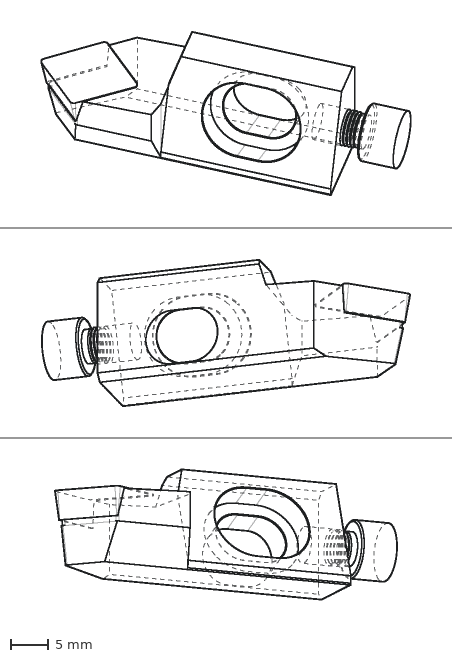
import cadquery as cq
import math

BAR_START = 18.0
BAR_END = 42.0
BAR_HEIGHT = 15.0
BAR_TOP_DEPTH = 6.0
BAR_DEPTH = 11.0
BACK_CHAMFER = 1.0
FACE_TILT = 20.0
END_TILT = 17.5
END_FOOT_HEIGHT = 10.9

HEAD_FRONT = -13.25
HEAD_FRONT_FOOT = -10.9
HEAD_SHOULDER = 17.35
HEAD_BAND_Z = 5.25
HEAD_BLANK_TOP = 12.5
FLANK_SLOPE = 0.71
FLANK_BACK_X = 11.2
LEAD_SUM = -6.6
LEAD_SUM_FOOT = -5.1
BAND_RADIUS = 0.55
NOSE_RADIUS = 0.3

TOP_ORIGIN_Z = 10.25
RISE_X = 0.037
RISE_Y = 0.05

TIP_CORNERS = [(-0.335, -7.45), (6.35, -14.2), (14.2, -8.7), (7.4, -1.85)]
TIP_THICKNESS = 4.0
TIP_RELIEF = 7.0
TIP_RADIUS = 0.6
TIP_STEP = 0.15

SLOT_X = 30.0
SLOT_Z = 8.05
SLOT_STRAIGHT = 3.0
RECESS_RADIUS = 5.4
RECESS_DEPTH = 4.0
SLOT_RADIUS = 3.6
SLOT_REACH = 20.0
RIM_CHAMFER = 0.1
RIM_ANGLE = 45.0

SCREW_Y = -4.25
SCREW_Z = 6.6
SCREW_END = 50.0
SCREW_HEAD_LENGTH = 5.1
SCREW_HEAD_RADIUS = 4.0
SCREW_HEAD_EDGE = 0.25
SCREW_RADIUS = 2.5
SCREW_ENGAGEMENT = 4.0
NECK_RADIUS = 2.35
THREAD_ROOT_RADIUS = 2.2
THREAD_PITCH = 0.5
THREAD_COUNT = 4


def make_bar():
    face_foot_z = BAR_HEIGHT - (BAR_DEPTH - BAR_TOP_DEPTH) / math.tan(math.radians(FACE_TILT))
    flare = (HEAD_FRONT_FOOT - HEAD_FRONT) / HEAD_BAND_Z
    underside_bevel = (BAR_DEPTH + HEAD_FRONT_FOOT) / flare
    section = [
        (0, BACK_CHAMFER),
        (-BACK_CHAMFER, 0),
        (HEAD_FRONT_FOOT, 0),
        (-BAR_DEPTH, underside_bevel),
        (-BAR_DEPTH, face_foot_z),
        (-BAR_TOP_DEPTH, BAR_HEIGHT),
        (-BACK_CHAMFER, BAR_HEIGHT),
        (0, BAR_HEIGHT - BACK_CHAMFER),
    ]
    bar = cq.Workplane("YZ", origin=(BAR_START, 0, 0)).polyline(section).close()
    bar = bar.extrude(BAR_END - BAR_START)
    rise = BAR_HEIGHT - END_FOOT_HEIGHT
    lean = rise * math.tan(math.radians(END_TILT))
    end_wedge = (
        cq.Workplane("XZ")
        .polyline([(BAR_START, END_FOOT_HEIGHT), (BAR_START + lean, BAR_HEIGHT), (BAR_START, BAR_HEIGHT)])
        .close()
        .extrude(BAR_DEPTH)
    )
    return bar.cut(end_wedge)


def head_outline(front, lead_sum):
    """Plan outline of the head, listed from its nose and front corner."""
    flank_offset = FLANK_SLOPE * FLANK_BACK_X
    nose_x = (lead_sum + flank_offset) / (1 + FLANK_SLOPE)
    return [
        (nose_x, lead_sum - nose_x),
        (lead_sum - front, front),
        (BAR_START, front),
        (BAR_START, 0),
        (FLANK_BACK_X, 0),
    ]


def top_plane(raise_by):
    """Workplane parallel to the head's tilted top, raised above it."""
    return cq.Plane(
        origin=(0, 0, TOP_ORIGIN_Z + raise_by),
        xDir=(1, 0, RISE_X),
        normal=(-RISE_X, -RISE_Y, 1),
    )


def round_upright_edge(body, corner, height, radius):
    nearest = cq.selectors.NearestToPointSelector((*corner, height))
    return body.edges(nearest).fillet(radius)


def make_head_band():
    outline = head_outline(HEAD_FRONT, LEAD_SUM)
    band = cq.Workplane("XY", origin=(0, 0, HEAD_BAND_Z)).polyline(outline).close()
    band = band.extrude(HEAD_BLANK_TOP - HEAD_BAND_Z)
    middle_z = (HEAD_BAND_Z + HEAD_BLANK_TOP) / 2
    for corner in outline[:2]:
        band = round_upright_edge(band, corner, middle_z, BAND_RADIUS)
    above_top = cq.Workplane(top_plane(0)).rect(2 * SCREW_END, 2 * SCREW_END).extrude(BAR_HEIGHT)
    return band.cut(above_top)


def make_head_base():
    foot = head_outline(HEAD_FRONT_FOOT, LEAD_SUM_FOOT)
    rim = head_outline(HEAD_FRONT, LEAD_SUM)
    base = (
        cq.Workplane("XY")
        .polyline(foot)
        .close()
        .workplane(offset=HEAD_BAND_Z)
        .polyline(rim)
        .close()
        .loft(ruled=True)
    )
    nose_middle = [(low + high) / 2 for low, high in zip(foot[0], rim[0])]
    base = round_upright_edge(base, nose_middle, HEAD_BAND_Z / 2, NOSE_RADIUS)
    back_bevel = (
        cq.Workplane("YZ")
        .polyline([(0, 0), (-BACK_CHAMFER, 0), (0, BACK_CHAMFER)])
        .close()
        .extrude(BAR_START)
    )
    return base.cut(back_bevel)


def make_head():
    shoulder_wedge = (
        cq.Workplane("XY")
        .polyline([(HEAD_SHOULDER, HEAD_FRONT), (BAR_START, HEAD_FRONT), (BAR_START, -BAR_DEPTH)])
        .close()
        .extrude(BAR_HEIGHT)
    )
    return make_head_base().union(make_head_band()).cut(shoulder_wedge)


def make_tip():
    return (
        cq.Workplane(top_plane(TIP_STEP))
        .sketch()
        .polygon(TIP_CORNERS + TIP_CORNERS[:1])
        .vertices()
        .fillet(TIP_RADIUS)
        .finalize()
        .extrude(-TIP_THICKNESS, taper=TIP_RELIEF)
    )


def make_slot_cutter():
    """Recess and through slot, both square to the sloping face."""
    tilt = math.radians(FACE_TILT)
    face_y = -BAR_TOP_DEPTH - (BAR_HEIGHT - SLOT_Z) * math.tan(tilt)
    face = cq.Plane(
        origin=(SLOT_X, face_y, SLOT_Z),
        xDir=(1, 0, 0),
        normal=(0, -math.cos(tilt), math.sin(tilt)),
    )
    cutter = slot_prism(face, 0, RECESS_RADIUS, RECESS_DEPTH)
    cutter = cutter.union(slot_prism(face, RECESS_DEPTH, SLOT_RADIUS, SLOT_REACH))
    for depth, radius in [(0, RECESS_RADIUS), (RECESS_DEPTH, SLOT_RADIUS)]:
        cutter = cutter.union(slot_prism(face, depth, radius + RIM_CHAMFER, RIM_CHAMFER, taper=RIM_ANGLE))
    return cutter


def slot_prism(face, depth, radius, length, taper=0):
    return (
        cq.Workplane(face)
        .workplane(offset=-depth)
        .slot2D(SLOT_STRAIGHT + 2 * radius, 2 * radius)
        .extrude(-length, taper=taper)
    )


def make_screw():
    """Cap screw along X, turned from a half profile of (x, radius) points."""
    head_start = SCREW_END - SCREW_HEAD_LENGTH
    profile = [(BAR_END - SCREW_ENGAGEMENT, 0), (BAR_END - SCREW_ENGAGEMENT, SCREW_RADIUS)]
    for turn in range(THREAD_COUNT):
        crest_x = BAR_END + turn * THREAD_PITCH
        profile += [(crest_x, SCREW_RADIUS), (crest_x + THREAD_PITCH / 2, THREAD_ROOT_RADIUS)]
    profile += [
        (BAR_END + THREAD_COUNT * THREAD_PITCH, NECK_RADIUS),
        (head_start, NECK_RADIUS),
        (head_start, SCREW_HEAD_RADIUS - SCREW_HEAD_EDGE),
        (head_start + SCREW_HEAD_EDGE, SCREW_HEAD_RADIUS),
        (SCREW_END, SCREW_HEAD_RADIUS),
        (SCREW_END, 0),
    ]
    turned = cq.Workplane("XY").polyline(profile).close().revolve(360, (0, 0, 0), (1, 0, 0))
    return turned.translate((0, SCREW_Y, SCREW_Z))


def make_screw_hole():
    return (
        cq.Workplane("YZ", origin=(BAR_END - SCREW_ENGAGEMENT, SCREW_Y, SCREW_Z))
        .circle(SCREW_RADIUS)
        .extrude(SCREW_ENGAGEMENT)
    )


def make_holder():
    holder = make_bar().union(make_head()).union(make_tip())
    return holder.cut(make_slot_cutter()).cut(make_screw_hole())


holder = make_holder()
screw = make_screw()

result = cq.Compound.makeCompound([holder.val(), screw.val()])